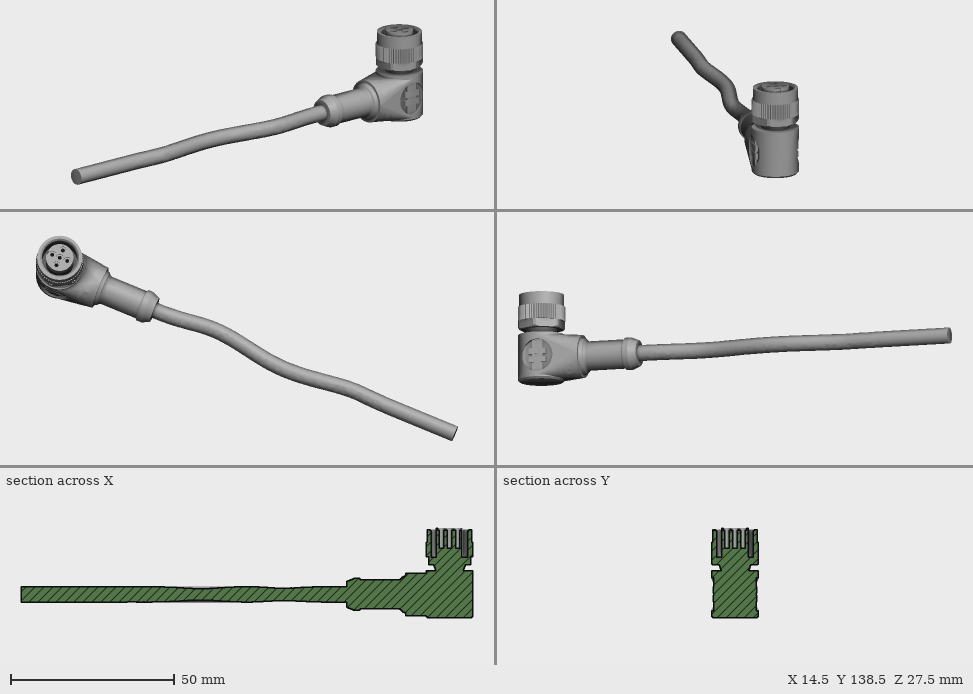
import cadquery as cq
import math


head_radius = 7.25
head_half_height = 7.25
head_edge_chamfer = 0.6
transition_half_height = 6.6
corner_rounding = 0.05
end_flat = 0.05
housing_end_radius = 6.6
housing_end_y = -13.5

recess_radius = 5.0
recess_center_y = -0.7
recess_floor_x = 5.9
band_width = 3.4
band_top_x = 6.6
bar_length = 5.6
bar_height = 1.8
bar_spacing = 2.6
bar_top_x = 6.75

collar_radius = 5.8
collar_shoulder_radius = 5.3
collar_shoulder_y = -14.55
collar_mid_radius = 4.75
collar_mid_y = -15.0
barrel_start_y = -15.9
barrel_radius = 4.5
ring_fillet_y = -27.1
ring_root_radius = 4.7
ring_start_y = -27.4
ring_radius = 5.0
ring_end_y = -29.1
relief_tip_radius = 4.0
relief_end_y = -31.5
cable_radius = 2.45
wave_start_y = -33.4
wave_end_y = -109.6
cable_end_y = -131.25
wave_peak = (1.45, -51.0)
wave_trough = (-1.6, -74.5)
wave_return = (0.4, -97.0)

neck_foot_radius = 4.3
neck_top_radius = 4.9
nut_bottom_z = 9.0
nut_bottom_chamfer = 0.4
hex_across_flats = 13.0
knurl_bottom_z = 11.5
knurl_top_z = 16.05
knurl_radius = head_radius
groove_count = 60
groove_depth = 0.35
sleeve_radius = 6.9
sleeve_top_z = 19.8
sleeve_bore_radius = 5.5
sleeve_mouth_chamfer = 0.5
bore_floor_z = knurl_bottom_z

insert_radius = 4.2
insert_top_z = 20.25
contact_circle_radius = 2.5
outer_contact_count = 4
contact_hole_radius = 0.6
contact_hole_depth = 6.0
contact_mouth_radius = 1.1
contact_mouth_depth = 0.5
keyway_width = 1.2
keyway_depth = 0.4


def disc(radius, bottom_z, top_z):
    """Upright cylinder on the plug axis."""
    return cq.Workplane("XY").workplane(offset=bottom_z).circle(radius).extrude(top_z - bottom_z)


def rounded_rectangle(half_x, half_z, corner_radius, y):
    """Wire of a rectangle with rounded corners, upright at the given Y."""
    plane = cq.Workplane("XZ", origin=(0, y, 0))
    slab = plane.rect(2 * half_x, 2 * half_z).extrude(head_radius).edges("|Y").fillet(corner_radius)
    return slab.faces(">Y").wires().val()


def transition():
    """Ruled body from a near-sharp rectangle at the plug axis to a near-full circle at the cable end."""
    start = rounded_rectangle(head_radius, transition_half_height, corner_rounding, 0)
    end_corner = housing_end_radius - end_flat / 2
    end = rounded_rectangle(housing_end_radius, housing_end_radius, end_corner, housing_end_y)
    return cq.Workplane(obj=cq.Solid.makeLoft([start, end], True))


def side_recess():
    """Material removed from the +X side: a round pocket less its band and bars."""
    sketch = cq.Workplane("YZ", origin=(recess_floor_x, recess_center_y, 0))
    pocket = sketch.circle(recess_radius).extrude(head_radius)
    band = sketch.rect(band_width, 2 * recess_radius).extrude(band_top_x - recess_floor_x)
    bar_centers = [(0, -bar_spacing / 2), (0, bar_spacing / 2)]
    bars = sketch.pushPoints(bar_centers).rect(bar_length, bar_height).extrude(bar_top_x - recess_floor_x)
    return pocket.cut(band).cut(bars)


def housing():
    head = disc(head_radius, -head_half_height, head_half_height)
    head = head.faces("<Z").edges().chamfer(head_edge_chamfer)
    recess = side_recess()
    return head.union(transition()).cut(recess).cut(recess.mirror("YZ"))


def strain_relief():
    """Stepped sleeve and straight cable stub, turned about the cable axis."""
    collar_middle = (collar_mid_radius, collar_mid_y)
    profile = (
        cq.Workplane("XY")
        .lineTo(collar_radius, 0)
        .lineTo(collar_radius, housing_end_y)
        .lineTo(collar_shoulder_radius, collar_shoulder_y)
        .threePointArc(collar_middle, (barrel_radius, barrel_start_y))
        .lineTo(barrel_radius, ring_fillet_y)
        .lineTo(ring_root_radius, ring_start_y)
        .lineTo(ring_radius, ring_start_y)
        .lineTo(ring_radius, ring_end_y)
        .lineTo(relief_tip_radius, relief_end_y)
        .lineTo(cable_radius, relief_end_y)
        .lineTo(cable_radius, wave_start_y)
        .lineTo(0, wave_start_y)
        .close()
    )
    return profile.revolve(360, (0, 0, 0), (0, 1, 0))


def cable():
    """Gently waved cable followed by a straight end."""
    wave_points = [(0, wave_start_y), wave_peak, wave_trough, wave_return, (0, wave_end_y)]
    path = cq.Workplane("XY").spline(wave_points, tangents=[(0, -1), (0, -1)])
    wave_section = cq.Workplane("XZ", origin=(0, wave_start_y, 0)).circle(cable_radius)
    wave = wave_section.sweep(path)
    end_section = cq.Workplane("XZ", origin=(0, wave_end_y, 0)).circle(cable_radius)
    return wave.union(end_section.extrude(wave_end_y - cable_end_y))


def neck():
    """Cone between the housing and the coupling nut."""
    foot = cq.Workplane("XY").workplane(offset=head_half_height).circle(neck_foot_radius)
    return foot.workplane(offset=nut_bottom_z - head_half_height).circle(neck_top_radius).loft()


def knurl_band():
    """Band of V-shaped ridges around the nut."""
    root_radius = knurl_radius - groove_depth
    points = []
    for index in range(2 * groove_count):
        angle = math.pi * index / groove_count
        radius = knurl_radius if index % 2 == 0 else root_radius
        points.append((radius * math.cos(angle), radius * math.sin(angle)))
    outline = cq.Workplane("XY").workplane(offset=knurl_bottom_z).polyline(points).close()
    return outline.extrude(knurl_top_z - knurl_bottom_z)


def coupling_nut():
    corner_diameter = hex_across_flats / math.cos(math.pi / 6)
    hexagon = cq.Workplane("XY").workplane(offset=nut_bottom_z).polygon(6, corner_diameter)
    round_blank = disc(knurl_radius, nut_bottom_z, knurl_bottom_z)
    round_blank = round_blank.faces("<Z").edges().chamfer(nut_bottom_chamfer)
    nut = hexagon.extrude(knurl_bottom_z - nut_bottom_z).intersect(round_blank)
    nut = nut.union(knurl_band()).union(disc(sleeve_radius, knurl_top_z, sleeve_top_z))
    nut = nut.cut(disc(sleeve_bore_radius, bore_floor_z, sleeve_top_z))
    mouth_edge = nut.faces(">Z").edges(cq.selectors.RadiusNthSelector(0))
    return mouth_edge.chamfer(sleeve_mouth_chamfer)


def contact_insert():
    """Five-hole contact carrier with a keyway on its +Y side."""
    insert = disc(insert_radius, bore_floor_z, insert_top_z)
    contacts = [(0, 0)]
    for index in range(outer_contact_count):
        angle = index * 2 * math.pi / outer_contact_count
        x = contact_circle_radius * math.cos(angle)
        y = contact_circle_radius * math.sin(angle)
        contacts.append((x, y))
    holes = insert.faces(">Z").workplane().pushPoints(contacts)
    insert = holes.cboreHole(
        2 * contact_hole_radius, 2 * contact_mouth_radius, contact_mouth_depth, contact_hole_depth
    )
    keyway = (
        cq.Workplane("XY")
        .workplane(offset=bore_floor_z)
        .center(0, insert_radius)
        .rect(keyway_width, 2 * keyway_depth)
        .extrude(insert_top_z - bore_floor_z)
    )
    return insert.cut(keyway)


result = (
    housing()
    .union(strain_relief())
    .union(cable())
    .union(neck())
    .union(coupling_nut())
    .union(contact_insert())
)